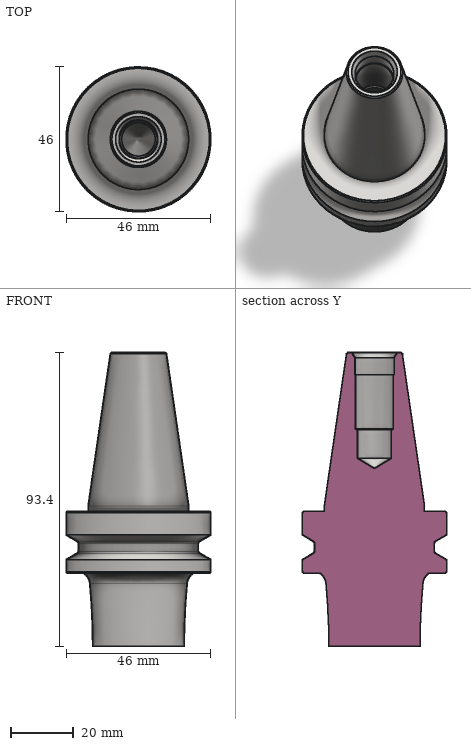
import cadquery as cq
import math

flange_radius = 46.0 / 2
flange_bottom = 23.2
flange_top = 43.0
flange_chamfer = 0.5

groove_floor_radius = 19.1
groove_bottom = 27.55
groove_top = 35.4
groove_flank_angle = 30
groove_fillet = 0.7

total_length = 93.4
shank_radius = 16.0
taper_start = 44.7
taper_ratio = 7 / 24
shank_chamfer = 0.5

nose_end_radius = 14.6
nose_top_radius = 15.5
nose_length = 20.1
flare_radius = 17.4

countersink_radius = 14.5 / 2
countersink_depth = 1.7
bore_radius = 6.2
bore_depth = 7.1
thread_radius = 6.0
thread_depth = 24.3
pilot_radius = 5.3
pilot_depth = 33.6
drill_half_angle = 59


def make_body():
    """Revolve the outer profile about the Z axis."""
    flank_height = (flange_radius - groove_floor_radius) * math.tan(math.radians(groove_flank_angle))
    small_end_radius = shank_radius - (total_length - taper_start) * taper_ratio / 2
    nose_growth = nose_top_radius - nose_end_radius
    nose_curve_radius = (nose_length**2 + nose_growth**2) / (2 * nose_growth)
    nose_middle_height = nose_length / 2
    nose_middle_radius = (
        nose_end_radius + nose_curve_radius - math.sqrt(nose_curve_radius**2 - nose_middle_height**2)
    )
    profile = (
        cq.Workplane("XZ")
        .lineTo(nose_end_radius, 0)
        .threePointArc((nose_middle_radius, nose_middle_height), (nose_top_radius, nose_length))
        .tangentArcPoint((flare_radius, flange_bottom), relative=False)
        .lineTo(flange_radius, flange_bottom)
        .lineTo(flange_radius, groove_bottom)
        .lineTo(groove_floor_radius, groove_bottom + flank_height)
        .lineTo(groove_floor_radius, groove_top - flank_height)
        .lineTo(flange_radius, groove_top)
        .lineTo(flange_radius, flange_top)
        .lineTo(shank_radius, flange_top)
        .lineTo(shank_radius, taper_start)
        .lineTo(small_end_radius, total_length)
        .lineTo(0, total_length)
        .close()
    )
    return profile.revolve(360, (0, 0, 0), (0, 1, 0))


def circles(body, radius, low, high):
    """Select the circular edges of one radius between two heights."""
    tolerance = 0.01
    return body.edges("%CIRCLE").filter(
        lambda edge: abs(edge.radius() - radius) < tolerance and low < edge.Center().z < high
    )


def make_bore():
    """Revolve the countersunk, stepped blind hole."""
    step_height = (thread_radius - pilot_radius) / math.tan(math.radians(drill_half_angle))
    tip_height = pilot_radius / math.tan(math.radians(drill_half_angle))
    return (
        cq.Workplane("XZ", origin=(0, 0, total_length))
        .lineTo(countersink_radius, 0)
        .lineTo(bore_radius, -countersink_depth)
        .lineTo(bore_radius, -bore_depth)
        .lineTo(thread_radius, -bore_depth)
        .lineTo(thread_radius, -thread_depth)
        .lineTo(pilot_radius, -thread_depth - step_height)
        .lineTo(pilot_radius, -pilot_depth)
        .lineTo(0, -pilot_depth - tip_height)
        .close()
        .revolve(360, (0, 0, 0), (0, 1, 0))
    )


body = make_body()
body = circles(body, groove_floor_radius, groove_bottom, groove_top).fillet(groove_fillet)
body = circles(body, flange_radius, 0, groove_bottom - flange_chamfer).chamfer(flange_chamfer)
body = circles(body, flange_radius, groove_top + flange_chamfer, total_length).chamfer(flange_chamfer)
body = body.faces(">Z").edges().chamfer(shank_chamfer)
result = body.cut(make_bore())